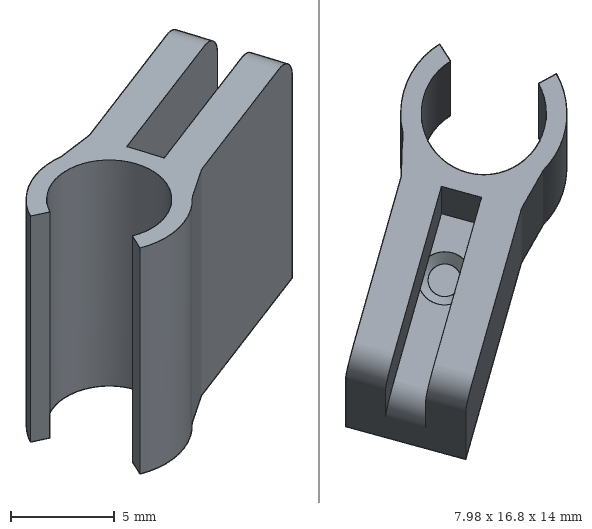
import cadquery as cq
import math

total_length = 16.8
height = 14.0
center_to_back = 14.0
bore_radius = 3.0
clip_wall = 0.99
body_width = 6.0
flare_length = 2.08
back_edge_radius = 1.51
slot_width = 2.0
slot_length = 10.0
slot_depth = height / 2
dimple_from_back = 6.99
dimple_top_diameter = 2.6
dimple_bottom_diameter = 1.6
right_lip_angle = 42.4

clip_radius = bore_radius + clip_wall
lip_drop = total_length - center_to_back
left_lip_angle = math.degrees(math.asin(lip_drop / clip_radius))
body_front = center_to_back - slot_length
flare_front = body_front - flare_length
flare_front_half_width = math.sqrt(clip_radius**2 - flare_front**2)
slot_floor = height - slot_depth
dimple_depth = (dimple_top_diameter - dimple_bottom_diameter) / 2


def polar_point(radius, angle):
    """Point at a radius and an angle in degrees, counterclockwise from +X."""
    turn = math.radians(angle)
    return (radius * math.cos(turn), radius * math.sin(turn))


def clip_ring():
    """Ring segment open toward -Y, with radial lips at two different angles."""
    start = -right_lip_angle
    end = 180 + left_lip_angle
    return (
        cq.Workplane("XY")
        .moveTo(*polar_point(clip_radius, start))
        .threePointArc((0, clip_radius), polar_point(clip_radius, end))
        .lineTo(*polar_point(bore_radius, end))
        .threePointArc((0, bore_radius), polar_point(bore_radius, start))
        .close()
        .extrude(height)
    )


def body():
    """Flat block with a flare that blends into the ring and a rounded top back edge."""
    half_width = body_width / 2
    block = (
        cq.Workplane("XY")
        .polyline([
            (-half_width, center_to_back),
            (half_width, center_to_back),
            (half_width, body_front),
            (flare_front_half_width, flare_front),
            (-flare_front_half_width, flare_front),
            (-half_width, body_front),
        ])
        .close()
        .extrude(height)
        .faces(">Y")
        .edges(">Z")
        .fillet(back_edge_radius)
    )
    bore = cq.Workplane("XY").circle(bore_radius).extrude(height)
    return block.cut(bore)


def slot():
    """Slot open at the top and back, with a floor that rounds down to the back face."""
    slot_front = center_to_back - slot_length
    round_start = center_to_back - back_edge_radius
    round_bottom = slot_floor - back_edge_radius
    round_diagonal = back_edge_radius * math.sqrt(0.5)
    return (
        cq.Workplane("YZ")
        .moveTo(slot_front, height)
        .lineTo(slot_front, slot_floor)
        .lineTo(round_start, slot_floor)
        .threePointArc(
            (round_start + round_diagonal, round_bottom + round_diagonal),
            (center_to_back, round_bottom),
        )
        .lineTo(center_to_back, height)
        .close()
        .extrude(slot_width / 2, both=True)
    )


def dimple():
    """Tapered, flat-bottomed recess in the slot floor."""
    return (
        cq.Workplane("XY", origin=(0, center_to_back - dimple_from_back, slot_floor))
        .circle(dimple_top_diameter / 2)
        .workplane(offset=-dimple_depth)
        .circle(dimple_bottom_diameter / 2)
        .loft()
    )


result = clip_ring().union(body()).cut(slot()).cut(dimple())